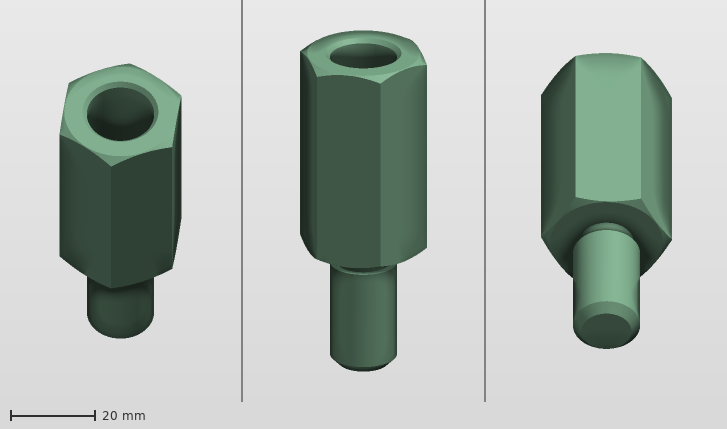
import cadquery as cq
import math

total_length = 80.0
hex_length = 50.0
across_flats = 27.0
across_corners = across_flats / math.cos(math.radians(30))

hex_face_diameter = 26.7
hex_chamfer_angle = 30.0

stud_diameter = 16.0
stud_chamfer = 2.1
neck_diameter = 13.0
neck_length = 4.0

hole_diameter = 16.0
hole_depth = 32.0
countersink_diameter = 18.0

stud_length = total_length - hex_length


def make_hex_body():
    """Hexagon with corners on Y, its ends trimmed by shallow cones."""
    prism = (
        cq.Workplane("XY", origin=(0, 0, stud_length))
        .polygon(6, across_corners)
        .extrude(hex_length)
        .rotate((0, 0, 0), (0, 0, 1), 30)
    )
    face_radius = hex_face_diameter / 2
    corner_radius = across_corners / 2
    drop = (corner_radius - face_radius) * math.tan(math.radians(hex_chamfer_angle))
    envelope = (
        cq.Workplane("XZ")
        .moveTo(0, stud_length)
        .lineTo(face_radius, stud_length)
        .lineTo(corner_radius, stud_length + drop)
        .lineTo(corner_radius, total_length - drop)
        .lineTo(face_radius, total_length)
        .lineTo(0, total_length)
        .close()
        .revolve(360, (0, 0, 0), (0, 1, 0))
    )
    return prism.intersect(envelope)


def make_stud():
    """Stud with a chamfered tip, joined to the hexagon by a thinner neck."""
    shank_length = stud_length - neck_length
    shank = (
        cq.Workplane("XY")
        .circle(stud_diameter / 2)
        .extrude(shank_length)
        .faces("<Z")
        .chamfer(stud_chamfer)
    )
    neck = (
        cq.Workplane("XY", origin=(0, 0, shank_length))
        .circle(neck_diameter / 2)
        .extrude(neck_length)
    )
    return shank.union(neck)


def make_hole():
    """Flat-bottomed hole with a 45 degree countersink at the top."""
    bore = (
        cq.Workplane("XY", origin=(0, 0, total_length - hole_depth))
        .circle(hole_diameter / 2)
        .extrude(hole_depth)
    )
    countersink_depth = (countersink_diameter - hole_diameter) / 2
    countersink = (
        cq.Workplane("XY", origin=(0, 0, total_length))
        .circle(countersink_diameter / 2)
        .extrude(-countersink_depth, taper=45)
    )
    return bore.union(countersink)


result = make_hex_body().union(make_stud()).cut(make_hole())